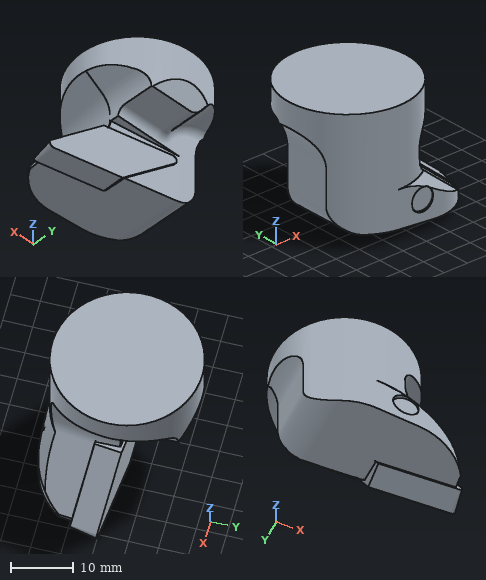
import cadquery as cq
import math

SHANK_DIA = 25.0
SHANK_R = SHANK_DIA / 2
TOTAL_HEIGHT = 25.0
CLEAR = 32.37

FLAT_X = -10.52
FLAT_TOP_Z = -10.15
RUNOUT_R = 8.4
CORNER_R = 5.0
BOTTOM_EDGE_Z = -21.72
BOTTOM_ANGLE = 5.0

HEAD_STRAIGHT = 7.4
HEAD_R = 11.98
HEAD_ARC_END = (17.55, -6.9)
HEAD_END_ANGLE = 6.0
CONE_TOP_Z = -15.3
CONE_DROP = 1.16

INSERT_YAW = 7.0
WAIST_U = 6.9
WAIST_TOP_Z = -10.55
WAIST_BOTTOM_Z = -11.95
WAIST_TURN_Y = 0.8
WAIST_R = 4.18
WAIST_UPPER_ANGLE = 34.5
WAIST_LOWER_ANGLE = 40.0

WALL_Y = 2.72
WALL_V = 1.88
POCKET_CENTRE_X = -11.85
POCKET_TOP_Z = -4.6
POCKET_R = 9.2
POCKET_BLEND_Z = -9.2
LEDGE_Z = -10.55
POCKET_FILLET = 1.62
CHAMFER_TOP_Z = -7.0
CHAMFER_ANGLE = 30.0

INSERT_IC = 9.52
INSERT_THICK = 4.75
INSERT_POINT_ANGLE = WAIST_LOWER_ANGLE - BOTTOM_ANGLE
INSERT_CLEARANCE = 5.0
NOSE_R = 0.8
TOTAL_LENGTH = 32.37
RAKE_V = 2.43

RECESS_U = 6.57
RECESS_Z = -18.9
RECESS_DIA = 4.5
RECESS_DEPTH = 0.5


def polar(radius, degrees):
    """Offset of a given length at an angle in a plane."""
    angle = math.radians(degrees)
    return radius * math.cos(angle), radius * math.sin(angle)


def shifted(point, offset):
    return point[0] + offset[0], point[1] + offset[1]


def arc_points(centre, radius, middle_angle, end_angle):
    """Middle and end points for a three-point arc."""
    return (shifted(centre, polar(radius, middle_angle)),
            shifted(centre, polar(radius, end_angle)))


def yawed(solid, degrees):
    """Turn a shape clockwise about the shank axis, seen from above."""
    return solid.rotate((0, 0, 0), (0, 0, 1), -degrees)


def make_head():
    """Side lobe below a conical shoulder that grows out of the shank."""
    arc_centre = (HEAD_STRAIGHT, HEAD_R - SHANK_R)
    end_x, end_y = HEAD_ARC_END
    end_angle = math.degrees(math.atan2(end_y - arc_centre[1], end_x - arc_centre[0]))
    arc_middle = shifted(arc_centre, polar(HEAD_R, (end_angle - 90) / 2))
    tip_x = end_x + (SHANK_R - end_y) * math.tan(math.radians(HEAD_END_ANGLE))
    lobe = (
        cq.Workplane("XY").moveTo(0, SHANK_R).lineTo(0, -SHANK_R).lineTo(HEAD_STRAIGHT, -SHANK_R)
        .threePointArc(arc_middle, HEAD_ARC_END).lineTo(tip_x, SHANK_R).close()
        .extrude(-CLEAR)
    )
    cone_growth = (CLEAR + CONE_TOP_Z) / CONE_DROP
    shoulder = (
        cq.Workplane("XZ").moveTo(0, CONE_TOP_Z).lineTo(SHANK_R, CONE_TOP_Z)
        .lineTo(SHANK_R + cone_growth, -CLEAR).lineTo(0, -CLEAR).close()
        .revolve(360, (0, 0, 0), (0, 1, 0))
    )
    return lobe.intersect(shoulder)


def make_side_envelope():
    """Front outline: run-out, left flat, rounded corner and sloping bottom."""
    runout_width = SHANK_R + FLAT_X
    runout_angle = math.degrees(math.acos(1 - runout_width / RUNOUT_R))
    runout_centre = (FLAT_X - RUNOUT_R, FLAT_TOP_Z)
    runout_middle, runout_top = arc_points(runout_centre, RUNOUT_R, runout_angle / 2, runout_angle)

    tangent = CORNER_R * math.tan(math.radians((90 - BOTTOM_ANGLE) / 2))
    corner_centre = (FLAT_X + CORNER_R, BOTTOM_EDGE_Z + tangent)
    corner_end_angle = 270 - BOTTOM_ANGLE
    corner_middle, corner_end = arc_points(
        corner_centre, CORNER_R, (180 + corner_end_angle) / 2, corner_end_angle)
    bottom_z = BOTTOM_EDGE_Z - (CLEAR - FLAT_X) * math.tan(math.radians(BOTTOM_ANGLE))
    return (
        cq.Workplane("XZ").moveTo(-SHANK_R, 0).lineTo(*runout_top)
        .threePointArc(runout_middle, (FLAT_X, FLAT_TOP_Z)).lineTo(FLAT_X, corner_centre[1])
        .threePointArc(corner_middle, corner_end)
        .lineTo(CLEAR, bottom_z).lineTo(CLEAR, 0).close()
        .extrude(CLEAR, both=True)
    )


def make_waist_cutter():
    """Smooth notch between the shank and the top of the head.

    It runs square to the rake face as far as the flange, then straight along Y.
    """
    upper_centre = (WAIST_U + WAIST_R, WAIST_TOP_Z)
    lower_centre = (WAIST_U + WAIST_R, WAIST_BOTTOM_Z)
    upper_end_angle = 90 + WAIST_UPPER_ANGLE
    lower_end_angle = 270 - WAIST_LOWER_ANGLE
    upper_middle, upper_end = arc_points(
        upper_centre, WAIST_R, (180 + upper_end_angle) / 2, upper_end_angle)
    lower_middle, lower_end = arc_points(
        lower_centre, WAIST_R, (180 + lower_end_angle) / 2, lower_end_angle)
    notch = (
        cq.Workplane("XZ").moveTo(*upper_end)
        .threePointArc(upper_middle, (WAIST_U, WAIST_TOP_Z)).lineTo(WAIST_U, WAIST_BOTTOM_Z)
        .threePointArc(lower_middle, lower_end)
        .lineTo(*shifted(lower_end, polar(CLEAR, -WAIST_LOWER_ANGLE)))
        .lineTo(*shifted(upper_end, polar(CLEAR, WAIST_UPPER_ANGLE))).close()
        .extrude(CLEAR, both=True)
    )
    yaw = math.radians(INSERT_YAW)
    turn_x = WAIST_U / math.cos(yaw) + WAIST_TURN_Y * math.tan(yaw)
    straight_notch = notch.translate((turn_x - WAIST_U, WAIST_TURN_Y + CLEAR, 0))
    return yawed(notch, INSERT_YAW).union(straight_notch)


def make_pocket_cutter():
    """Chip space with a curved roof, a flat ledge and a filleted wall."""
    roof_drop = POCKET_TOP_Z - POCKET_BLEND_Z
    roof_angle = math.degrees(math.acos(1 - roof_drop / POCKET_R))
    roof_centre = (POCKET_CENTRE_X, POCKET_TOP_Z - POCKET_R)
    roof_middle, roof_end = arc_points(roof_centre, POCKET_R, 90 - roof_angle / 2, 90 - roof_angle)

    blend_r = (POCKET_BLEND_Z - LEDGE_Z) / (1 - math.cos(math.radians(roof_angle)))
    blend_centre = shifted(roof_end, polar(blend_r, 90 - roof_angle))
    blend_middle, blend_end = arc_points(blend_centre, blend_r, 270 - roof_angle / 2, 270)

    cutter = (
        cq.Workplane("XZ", origin=(0, WALL_Y, 0)).moveTo(-CLEAR, POCKET_TOP_Z)
        .lineTo(POCKET_CENTRE_X, POCKET_TOP_Z).threePointArc(roof_middle, roof_end)
        .threePointArc(blend_middle, blend_end).lineTo(CLEAR, LEDGE_Z)
        .lineTo(CLEAR, -CLEAR).lineTo(-CLEAR, -CLEAR).close()
        .extrude(-CLEAR)
    )
    roof_edges = cq.selectors.BoxSelector(
        (-CLEAR, WALL_Y - 0.32, LEDGE_Z - 0.32), (CLEAR, WALL_Y + 0.32, 0))
    return cutter.faces("<Y").edges(roof_edges).fillet(POCKET_FILLET)


def make_lower_wall_cutter():
    """Block below the wall fillet that turns the wall parallel to the rake face."""
    block = (
        cq.Workplane("XY").box(2 * CLEAR, CLEAR, CLEAR, centered=(True, False, False))
        .translate((0, WALL_V, LEDGE_Z - POCKET_FILLET - CLEAR))
    )
    return yawed(block, INSERT_YAW)


def make_chamfer_cutter():
    """Sloping cut across the back of the flange."""
    depth = SHANK_R - WALL_Y - POCKET_FILLET
    foot_z = CHAMFER_TOP_Z - depth / math.tan(math.radians(CHAMFER_ANGLE))
    return (
        cq.Workplane("YZ").moveTo(SHANK_R, CHAMFER_TOP_Z).lineTo(SHANK_R - depth, foot_z)
        .lineTo(SHANK_R, foot_z).close()
        .extrude(CLEAR, both=True)
    )


def insert_outline():
    """Sharp corners of the insert's rake face, starting at the nose."""
    side = INSERT_IC / math.sin(math.radians(INSERT_POINT_ANGLE))
    yaw = math.radians(INSERT_YAW)
    nose_tip_u = (TOTAL_LENGTH - SHANK_R - RAKE_V * math.sin(yaw)) / math.cos(yaw)
    nose_centre = (nose_tip_u - NOSE_R, NOSE_R - TOTAL_HEIGHT)
    apex_reach = NOSE_R / math.sin(math.radians(INSERT_POINT_ANGLE / 2))
    nose = shifted(nose_centre, polar(apex_reach, -(WAIST_LOWER_ANGLE + BOTTOM_ANGLE) / 2))
    upper = shifted(nose, polar(side, 180 - WAIST_LOWER_ANGLE))
    lower = shifted(nose, polar(side, 180 - BOTTOM_ANGLE))
    tail = shifted(upper, polar(side, 180 - BOTTOM_ANGLE))
    return [nose, upper, tail, lower]


def rounded_point(sharp, direction):
    """Start, middle and end of the arc that rounds an acute insert corner."""
    half_point = INSERT_POINT_ANGLE / 2
    centre = shifted(sharp, polar(NOSE_R / math.sin(math.radians(half_point)), direction + 180))
    sweep = 90 - half_point
    return [shifted(centre, polar(NOSE_R, direction + turn)) for turn in (-sweep, 0, sweep)]


def make_insert():
    """Rhombic cutting insert, tapered for clearance, rounded at both points."""
    nose, upper, tail, lower = insert_outline()
    nose_direction = -(WAIST_LOWER_ANGLE + BOTTOM_ANGLE) / 2
    nose_start, nose_middle, nose_end = rounded_point(nose, nose_direction)
    tail_start, tail_middle, tail_end = rounded_point(tail, nose_direction + 180)
    plate = (
        cq.Workplane("XZ", origin=(0, RAKE_V, 0)).moveTo(*nose_start)
        .threePointArc(nose_middle, nose_end).lineTo(*upper).lineTo(*tail_start)
        .threePointArc(tail_middle, tail_end).lineTo(*lower).close()
        .extrude(INSERT_THICK, taper=INSERT_CLEARANCE)
    )
    return yawed(plate, INSERT_YAW)


def make_screw_recess():
    """Round recess in the head's flat side, square to the rake face."""
    yaw = math.radians(INSERT_YAW)
    side_v = -SHANK_R / math.cos(yaw) + RECESS_U * math.tan(yaw)
    recess = (
        cq.Workplane("XZ", origin=(RECESS_U, side_v + RECESS_DEPTH, RECESS_Z))
        .circle(RECESS_DIA / 2).extrude(CLEAR)
    )
    return yawed(recess, INSERT_YAW)


def make_holder(insert):
    shank = cq.Workplane("XY").circle(SHANK_R).extrude(-CLEAR)
    return (
        shank.union(make_head())
        .intersect(make_side_envelope())
        .cut(make_waist_cutter())
        .cut(make_pocket_cutter())
        .cut(make_lower_wall_cutter())
        .cut(make_chamfer_cutter())
        .cut(make_screw_recess())
        .cut(insert)
    )


insert = make_insert()
holder = make_holder(insert)
result = cq.Compound.makeCompound([holder.val(), insert.val()])